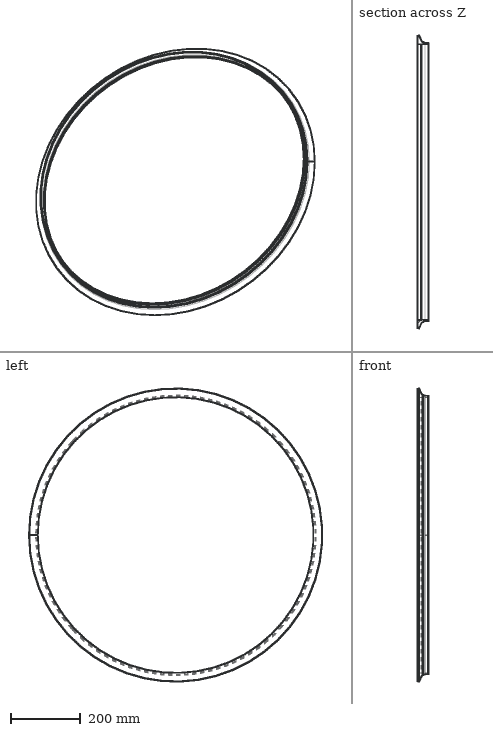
import cadquery as cq

outer_radius = 422.0
bore_radius = 395.5
ring_width = 32.0

rim_bevel_height = 2.0
rim_end = 5.0
cone_end = 12.0
cone_end_radius = 406.0

shoulder_start = 14.0
shoulder_radius = 403.0
shoulder_end = 16.0

body_radius = 400.5
taper_rise = 1.0
taper_start = 18.5
taper_end = 23.0
body_chamfer_width = 2.5
body_chamfer_height = 1.0

bore_relief = 1.0
relief_end = 10.0
relief_runout = 2.0
mouth_start = 21.0
mouth_relief = 1.0

split_width = 1.0

left_face = -ring_width / 2


def along(distance):
    """X position at a distance from the lip face."""
    return left_face + distance


profile_points = [
    (along(0), bore_radius + bore_relief),
    (along(0), outer_radius - rim_bevel_height),
    (along(rim_end), outer_radius),
    (along(cone_end), cone_end_radius),
    (along(shoulder_start), shoulder_radius),
    (along(shoulder_end), shoulder_radius),
    (along(taper_start), body_radius + taper_rise),
    (along(taper_end), body_radius),
    (along(ring_width - body_chamfer_width), body_radius),
    (along(ring_width), body_radius - body_chamfer_height),
    (along(ring_width), bore_radius + mouth_relief),
    (along(mouth_start), bore_radius),
    (along(relief_end + relief_runout), bore_radius),
    (along(relief_end), bore_radius + bore_relief),
]

ring = (
    cq.Workplane("XY")
    .polyline(profile_points)
    .close()
    .revolve(360, (0, 0, 0), (1, 0, 0))
)

split = (
    cq.Workplane("XY")
    .box(ring_width, outer_radius, split_width)
    .translate((0, outer_radius, 0))
)

result = ring.cut(split)